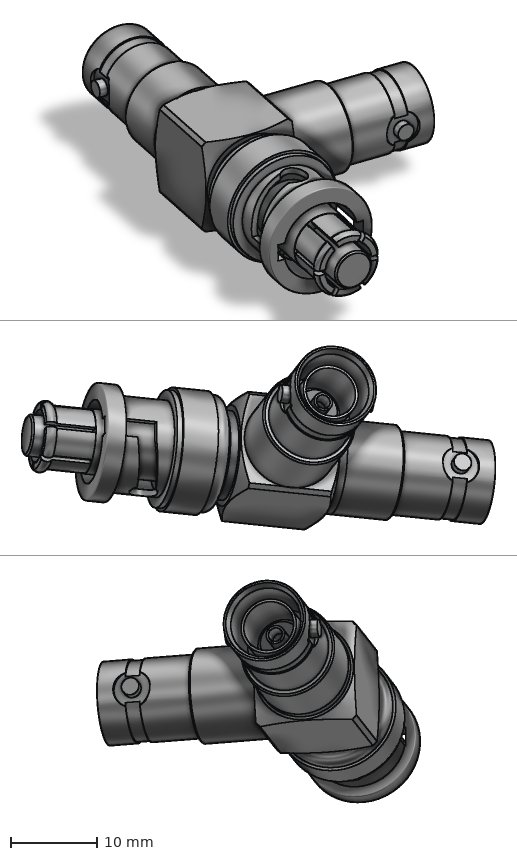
import cadquery as cq
import math


overall_length = 55.1
jack_reach = 25.0
plug_reach = overall_length - jack_reach

block_size = 12.0
block_half = block_size / 2
edge_chamfer = 0.5
corner_cone_radius = 5.9
corner_cone_angle = 25.0
neck_length = 1.0
collar_end = block_half + neck_length
plug_neck_radius = 5.25

jack_body_radius = 5.55
jack_body_chamfer = 0.2
jack_tube_length = 11.1
jack_tube_radius = 4.9
groove_start = 3.3
groove_end = 5.0
groove_radius = 4.75
jack_bore_radius = 4.2
jack_bore_depth = 8.8
mouth_radius = 4.65
mouth_depth = 0.65
inner_tube_outer_radius = 3.3
inner_tube_inner_radius = 3.0
inner_tube_recess = 2.05
seat_radius = 2.5
seat_height = 0.8
contact_radius = 1.1
contact_recess = 5.25
contact_hole_radius = 0.8
contact_hole_depth = 2.2

pin_radius = 1.05
pin_position = 4.15
pin_tip_radius = 5.5
spotface_radius = 2.2
spotface_plane = 4.45

nut_start = 7.4
nut_grip_start = 9.05
nut_grip_end = 13.2
nut_rim_end = 13.9
nut_flange_start = 20.0
nut_end = 22.3
nut_grip_diameter = 14.5
nut_grip_radius = nut_grip_diameter / 2
nut_rim_radius = 6.9
nut_barrel_radius = 5.7
nut_bore_radius = 4.9
nut_back_fillet = 1.0
nut_flange_fillet = 0.15

detent_position = 16.05
detent_radius = 1.65
ramp_start = 15.75
ramp_end = 17.35
ramp_width = 2.25
entry_start = 16.05
entry_width = 2.15

shank_radius = 3.8
finger_start = 22.8
finger_radius = 3.75
finger_bore_radius = 3.1
finger_count = 6
finger_slot_width = 0.6
bead_start = 27.5
bead_peak = 28.1
bead_radius = 4.2
bead_end_radius = 3.85
finger_end = 28.8
insulator_radius = 2.4
insulator_chamfer = 0.2


def turned(points):
    """Solid of revolution about X from (x, radius) points."""
    return cq.Workplane("XY").polyline(points).close().revolve(360, (0, 0, 0), (1, 0, 0))


def cylinder_x(radius, start, end):
    return cq.Workplane("YZ").workplane(offset=start).circle(radius).extrude(end - start)


def ring_x(outer_radius, inner_radius, start, end):
    section = cq.Workplane("YZ").workplane(offset=start).circle(outer_radius).circle(inner_radius)
    return section.extrude(end - start)


def make_jack(length):
    """Female jack along X with its tip at -jack_reach and the given overall length."""
    tip = -jack_reach
    step = tip + jack_tube_length
    base = tip + length
    jack = turned([
        (tip, 0),
        (tip, jack_tube_radius),
        (tip + groove_start, jack_tube_radius),
        (tip + groove_start, groove_radius),
        (tip + groove_end, groove_radius),
        (tip + groove_end, jack_tube_radius),
        (step, jack_tube_radius),
        (step, jack_body_radius - jack_body_chamfer),
        (step + jack_body_chamfer, jack_body_radius),
        (base, jack_body_radius),
        (base, 0),
    ])
    jack = add_bayonet_pins(jack, tip + pin_position)
    return add_jack_interior(jack, tip)


def add_bayonet_pins(jack, position):
    """Two opposite radial pins, each standing on a round flat."""
    for direction in (1, -1):
        plane = cq.Plane(
            origin=(position, direction * spotface_plane, 0),
            xDir=(1, 0, 0),
            normal=(0, direction, 0),
        )
        spotface = cq.Workplane(plane).circle(spotface_radius).extrude(jack_tube_radius - spotface_plane)
        pin = cq.Workplane(plane).circle(pin_radius).extrude(pin_tip_radius - spotface_plane)
        jack = jack.cut(spotface).union(pin)
    return jack


def add_jack_interior(jack, tip):
    """Flared bore holding a thin inner tube, a raised seat and a hollow contact."""
    floor = tip + jack_bore_depth
    bore = turned([
        (tip, 0),
        (tip, mouth_radius),
        (tip + mouth_depth, jack_bore_radius),
        (floor, jack_bore_radius),
        (floor, 0),
    ])
    inner_tube = ring_x(
        inner_tube_outer_radius, inner_tube_inner_radius, tip + inner_tube_recess, floor
    )
    seat = cylinder_x(seat_radius, floor - seat_height, floor)
    contact_tip = tip + contact_recess
    contact = cylinder_x(contact_radius, contact_tip, floor)
    hole_end = contact_tip + contact_hole_depth
    contact_hole = turned([
        (contact_tip, 0),
        (contact_tip, contact_hole_radius),
        (hole_end, contact_hole_radius),
        (hole_end + contact_hole_radius, 0),
    ])
    return jack.cut(bore).union(inner_tube).union(seat).union(contact).cut(contact_hole)


def make_block():
    """Cube with chamfered X edges, turned end cones and a collar on each X face."""
    block = cq.Workplane("XY").box(block_size, block_size, block_size)
    block = block.edges("|X").chamfer(edge_chamfer)
    corner_radius = block_half * math.sqrt(2)
    cone_length = (corner_radius - corner_cone_radius) * math.tan(math.radians(corner_cone_angle))
    envelope = turned([
        (-block_half, 0),
        (-block_half, corner_cone_radius),
        (cone_length - block_half, corner_radius),
        (block_half - cone_length, corner_radius),
        (block_half, corner_cone_radius),
        (block_half, 0),
    ])
    jack_collar = cylinder_x(jack_body_radius, -collar_end, -block_half)
    plug_collar = cylinder_x(plug_neck_radius, block_half, collar_end)
    return block.intersect(envelope).union(jack_collar).union(plug_collar)


def make_housing():
    """Block with the side jack along +Y as one solid."""
    side_jack = make_jack(jack_reach - block_half).rotate((0, 0, 0), (0, 0, 1), -90)
    return make_block().union(side_jack)


def make_end_jack():
    return make_jack(jack_reach - collar_end)


def make_bayonet_slot():
    """Cutter on the lower side: round detent, quarter-turn ramp and axial entry."""
    detent = cq.Workplane("XY").center(detent_position, 0).circle(detent_radius)
    detent = detent.extrude(-nut_barrel_radius)

    ramp_rise = ramp_end - ramp_start
    middle_radius = (nut_bore_radius + nut_barrel_radius) / 2
    ramp_depth = 2 * (nut_barrel_radius - nut_bore_radius)
    helix = cq.Wire.makeHelix(4 * ramp_rise, ramp_rise, middle_radius)
    ramp = cq.Workplane("XZ").center(middle_radius, 0).rect(ramp_depth, ramp_width)
    ramp = ramp.sweep(cq.Workplane(obj=helix), isFrenet=True)
    ramp = ramp.rotate((0, 0, 0), (0, 1, 0), 90).translate((ramp_start, 0, 0))

    entry = cq.Workplane("XY").box(
        nut_end - entry_start, nut_barrel_radius, entry_width, centered=(False, False, True)
    )
    entry = entry.translate((entry_start, 0, 0))
    return detent.union(ramp).union(entry)


def make_nut():
    """Coupling nut with two opposite bayonet slots."""
    rim = ring_x(nut_rim_radius, plug_neck_radius, nut_start, nut_rim_end)
    rim = rim.faces("<X").edges(cq.selectors.RadiusNthSelector(1)).fillet(nut_back_fillet)
    grip = ring_x(nut_grip_radius, plug_neck_radius, nut_grip_start, nut_grip_end)
    barrel = ring_x(nut_barrel_radius, nut_bore_radius, nut_rim_end, nut_flange_start)
    flange = ring_x(nut_rim_radius, nut_bore_radius, nut_flange_start, nut_end)
    flange = flange.edges(cq.selectors.RadiusNthSelector(1)).fillet(nut_flange_fillet)
    nut = rim.union(grip).union(barrel).union(flange)
    slot = make_bayonet_slot()
    for angle in (0, 180):
        nut = nut.cut(slot.rotate((0, 0, 0), (1, 0, 0), angle))
    return nut


def make_plug():
    """Plug: neck inside the nut, slotted beaded fingers and a central insulator."""
    plug = (
        cq.Workplane("XY")
        .moveTo(collar_end, 0)
        .lineTo(collar_end, plug_neck_radius)
        .lineTo(nut_rim_end, plug_neck_radius)
        .lineTo(nut_rim_end, shank_radius)
        .lineTo(finger_start, shank_radius)
        .lineTo(finger_start, finger_radius)
        .lineTo(bead_start, finger_radius)
        .threePointArc((bead_peak, bead_radius), (finger_end, bead_end_radius))
        .lineTo(finger_end, finger_bore_radius)
        .lineTo(finger_start, finger_bore_radius)
        .lineTo(finger_start, 0)
        .close()
        .revolve(360, (0, 0, 0), (1, 0, 0))
    )
    for index in range(finger_count):
        slot = cq.Workplane("XY").box(
            finger_end - finger_start, 2 * bead_radius, finger_slot_width, centered=(False, False, True)
        )
        slot = slot.translate((finger_start, 0, 0))
        plug = plug.cut(slot.rotate((0, 0, 0), (1, 0, 0), index * 360 / finger_count))
    insulator = cylinder_x(insulator_radius, finger_start, plug_reach)
    return plug.union(insulator.faces(">X").chamfer(insulator_chamfer))


housing = make_housing()
end_jack = make_end_jack()
nut = make_nut()
plug = make_plug()

result = cq.Compound.makeCompound([
    body.solids().val() for body in (housing, end_jack, nut, plug)
])